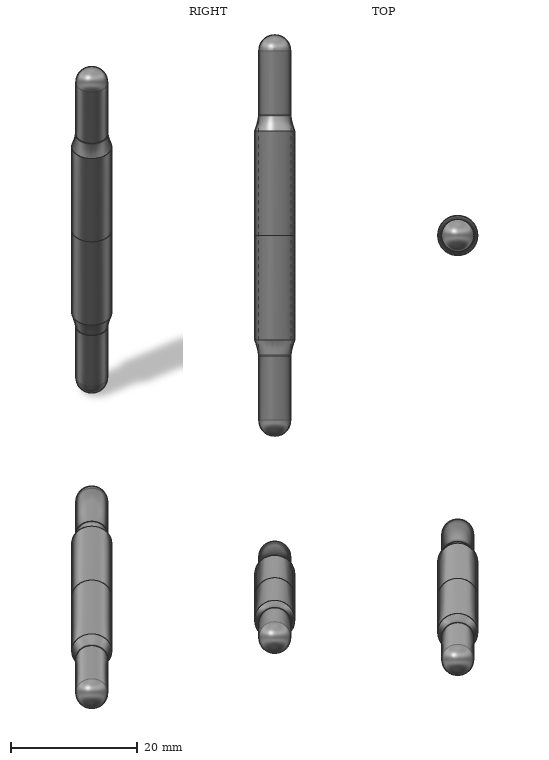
import cadquery as cq

total_length = 63.5
barrel_radius = 3.2
plunger_radius = 2.55

barrel_half_length = 19.05
crimp_length = 2.55
lip_height = 0.2
lip_thickness = 0.03
lip_radius = plunger_radius + lip_thickness
crimp_start = barrel_half_length - crimp_length
crimp_end = barrel_half_length - lip_height
crimp_arc_radius = 10.15

half_length = total_length / 2
dome_start = half_length - plunger_radius


def place_at_end(body, end):
    """Keep a body on the +Z side, or turn it over to the -Z side."""
    return body if end > 0 else body.mirror("XY")


def make_barrel_half(end):
    """Sleeve from the middle joint to the crimped mouth, bored for the plunger."""
    sleeve = (
        cq.Workplane("XZ")
        .moveTo(plunger_radius, 0)
        .lineTo(barrel_radius, 0)
        .lineTo(barrel_radius, crimp_start)
        .radiusArc((lip_radius, crimp_end), crimp_arc_radius)
        .lineTo(lip_radius, barrel_half_length)
        .lineTo(plunger_radius, barrel_half_length)
        .close()
        .revolve(360, (0, 0, 0), (0, 1, 0))
    )
    return place_at_end(sleeve, end)


def make_plunger(end):
    """Round rod from the middle joint to a hemispherical tip."""
    rod = cq.Workplane("XY").circle(plunger_radius).extrude(dome_start)
    tip = cq.Workplane("XY").sphere(plunger_radius).translate((0, 0, dome_start))
    return place_at_end(rod.union(tip), end)


ends = (1, -1)
barrel_halves = [make_barrel_half(end).val() for end in ends]
plungers = [make_plunger(end).val() for end in ends]

result = cq.Compound.makeCompound([*barrel_halves, *plungers])